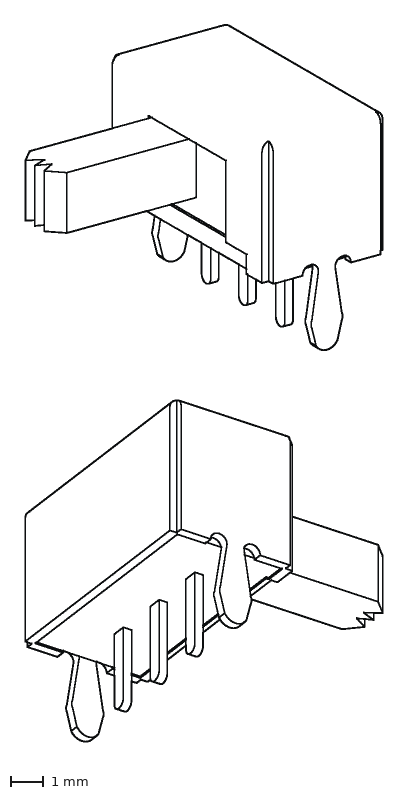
import cadquery as cq

overall_width = 9.5
overall_height = 7.4

cover_length = 8.6
cover_width = 4.49
cover_height = 4.7
sheet = 0.32
corner_notch = 0.25

window_width = 4.18
window_top = 3.4
skirt_width = 6.42
skirt_height = 0.665

base_bottom = 0.06
flange_recess = 0.23

slider_width = 2.01
slider_left = -1.98
slider_bottom = 1.35
slider_height = 2.02
slider_reach = overall_width - cover_width
tooth_depth = 0.5
tooth_pitch = 0.5
valley_offset = 0.2

tail_length = overall_height - cover_height
pin_pitch = 2.0
pin_width = 0.5
pin_thickness = 0.3
leg_neck = 0.31
leg_half_width = 0.59
leg_widest_z = -1.71
leg_bulge_height = 0.25
leg_bulge_depth = 0.03
leg_tip_half_width = 0.4
leg_tip_z = -2.47
relief_radius = 0.29
relief_offset = leg_neck + relief_radius

front_y = -cover_width / 2
overlap = 0.095


def block(length, width, bottom, top, y_center=0):
    """Box centred on X = 0 between two heights."""
    box = cq.Workplane("XY").box(length, width, top - bottom, centered=(True, True, False))
    return box.translate((0, y_center, bottom))


def make_cover():
    """Box of folded sheet, with rounded top bends and open vertical corners."""
    cover = block(cover_length, cover_width, 0, cover_height)
    cover = cover.faces(">Z").edges().fillet(sheet)
    cavity = block(cover_length - 2 * sheet, cover_width - 2 * sheet, 0, cover_height - sheet)
    cover = cover.cut(cavity)
    for side_x in (-1, 1):
        for side_y in (-1, 1):
            notch = block(2 * corner_notch, 2 * corner_notch, 0, cover_height)
            corner = (side_x * cover_length / 2, side_y * cover_width / 2, 0)
            cover = cover.cut(notch.translate(corner))
    window = block(window_width, 2 * sheet, 0, window_top, front_y)
    skirt = block(skirt_width, 2 * sheet, 0, skirt_height, front_y)
    reliefs = (
        cq.Workplane("YZ")
        .pushPoints([(-relief_offset, 0), (relief_offset, 0)])
        .circle(relief_radius)
        .extrude(cover_length / 2, both=True)
    )
    return cover.cut(window).cut(skirt).cut(reliefs)


def make_base():
    """Solid filling of the cover, with a flange standing in the skirt opening."""
    core = block(cover_length - 2 * sheet, cover_width - 2 * sheet, base_bottom, cover_height - sheet)
    flange_depth = sheet - flange_recess + overlap
    flange_y = front_y + flange_recess + flange_depth / 2
    flange = block(skirt_width, flange_depth, 0, skirt_height, flange_y)
    return core.union(flange)


def make_slider():
    """Square lever with a grooved, bevelled tip."""
    tip_y = front_y - slider_reach
    valley_y = tip_y + tooth_depth
    center_x = slider_left + slider_width / 2
    root_y = front_y + sheet + overlap
    outline = [
        (slider_left, root_y),
        (slider_left, valley_y),
        (center_x - tooth_pitch, tip_y),
        (center_x - valley_offset, valley_y),
        (center_x, tip_y),
        (center_x + valley_offset, valley_y),
        (center_x + tooth_pitch, tip_y),
        (slider_left + slider_width, valley_y),
        (slider_left + slider_width, root_y),
    ]
    plane = cq.Workplane("XY").workplane(offset=slider_bottom)
    return plane.polyline(outline).close().extrude(slider_height)


def make_pin(x):
    """Flat pin with a fully rounded end."""
    radius = pin_width / 2
    return (
        cq.Workplane("XZ")
        .moveTo(x - radius, base_bottom + overlap)
        .lineTo(x - radius, radius - tail_length)
        .threePointArc((x, -tail_length), (x + radius, radius - tail_length))
        .lineTo(x + radius, base_bottom + overlap)
        .close()
        .extrude(pin_thickness / 2, both=True)
    )


def make_leg(inner_x):
    """Teardrop leg, one sheet thick, growing from an end wall of the cover."""
    bulge_top = leg_widest_z + leg_bulge_height / 2
    bulge_bottom = leg_widest_z - leg_bulge_height / 2
    bulge_shoulder = leg_half_width - leg_bulge_depth
    return (
        cq.Workplane("YZ")
        .workplane(offset=inner_x)
        .moveTo(-leg_neck, 0)
        .lineTo(-bulge_shoulder, bulge_top)
        .threePointArc((-leg_half_width, leg_widest_z), (-bulge_shoulder, bulge_bottom))
        .lineTo(-leg_tip_half_width, leg_tip_z)
        .threePointArc((0, -tail_length), (leg_tip_half_width, leg_tip_z))
        .lineTo(bulge_shoulder, bulge_bottom)
        .threePointArc((leg_half_width, leg_widest_z), (bulge_shoulder, bulge_top))
        .lineTo(leg_neck, 0)
        .close()
        .extrude(sheet)
    )


result = make_cover().union(make_base()).union(make_slider())
for pin_index in (-1, 0, 1):
    result = result.union(make_pin(pin_index * pin_pitch))
for leg_x in (-cover_length / 2, cover_length / 2 - sheet):
    result = result.union(make_leg(leg_x))